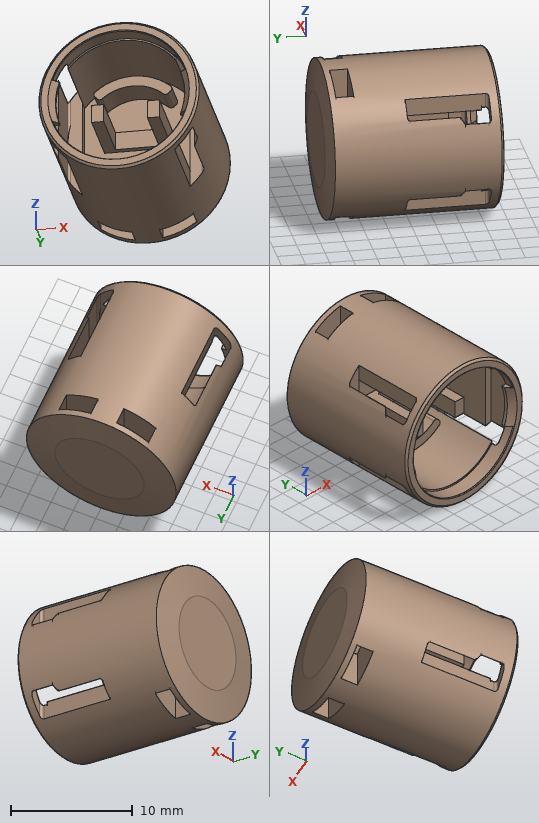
import cadquery as cq
import math

length = 14.5
outer_radius = 6.7
front_y = -length / 2
back_y = length / 2
rim_chamfer = 0.2
cone_height = 0.36
cone_tip_radius = 4.0

bore_radius = 5.7
mouth_radius = 5.85
mouth_rim_radius = 5.91
mouth_chamfer_length = 0.1
mouth_depth = 1.5

slot_inner_x = 4.5
slot_outer_x = 5.7
slot_wide_x = 6.0
slot_front_y = front_y + 0.93
slot_back_y = front_y + 7.9
ramp_front_y = front_y + 3.15
ramp_back_y = front_y + 3.5
slot_front_fillet = 0.25
slot_back_fillet = 0.2

lug_half_height = 1.9
lug_inner_radius = 5.4
lug_land = 0.32

floor_y = front_y + 8.9
prong_outer_x = 2.83
prong_inner_x = 1.83
prong_half_height = 0.78
prong_front_y = front_y + 3.1
bridge_height = 0.5
rib_inner_radius = 3.9
rib_outer_radius = 4.8
rib_half_angle = 45
rib_fillet = 0.3
rib_front_y = front_y + 6.35

window_inner_x = 1.15
window_outer_x = 4.0
window_front_y = back_y - 2.4
window_back_y = back_y - 0.9
boss_radius = 2.9
boss_tip_radius = 2.7
boss_height = 0.8
boss_chamfer_length = 0.2


def box(x_range, y_range, z_range):
    """Box between the given limits along each axis."""
    size = [limits[1] - limits[0] for limits in (x_range, y_range, z_range)]
    corner = (x_range[0], y_range[0], z_range[0])
    return cq.Workplane("XY").box(*size, centered=False).translate(corner)


def revolved(profile):
    """Revolve a closed (radius, y) profile about the Y axis."""
    return cq.Workplane("XY").polyline(profile).close().revolve(360, (0, 0, 0), (0, 1, 0))


def disc(radius, y_start, y_end):
    return revolved([(0, y_start), (radius, y_start), (radius, y_end), (0, y_end)])


def on_both_sides(shape):
    """Add the mirror image of a shape across the YZ plane."""
    return shape.union(shape.mirror("YZ"))


def make_shell():
    shell = revolved([
        (0, front_y),
        (outer_radius - rim_chamfer, front_y),
        (outer_radius, front_y + rim_chamfer),
        (outer_radius, back_y - cone_height),
        (cone_tip_radius, back_y),
        (0, back_y),
    ])
    bore = disc(bore_radius, front_y, slot_back_y)
    flat_sided_end = disc(bore_radius, slot_back_y, floor_y).intersect(
        box(
            (-slot_inner_x, slot_inner_x),
            (slot_back_y, floor_y),
            (-bore_radius, bore_radius),
        )
    )
    mouth = revolved([
        (0, front_y),
        (mouth_rim_radius, front_y),
        (mouth_radius, front_y + mouth_chamfer_length),
        (mouth_radius, front_y + mouth_depth),
        (0, front_y + mouth_depth),
    ])
    return shell.cut(bore).cut(flat_sided_end).cut(mouth)


def make_slot():
    slot = (
        cq.Workplane("XY")
        .polyline([
            (slot_inner_x, slot_front_y),
            (slot_wide_x, slot_front_y),
            (slot_wide_x, ramp_front_y),
            (slot_outer_x, ramp_back_y),
            (slot_outer_x, slot_back_y),
            (slot_inner_x, slot_back_y),
        ])
        .close()
        .extrude(outer_radius, both=True)
    )
    slot = slot.faces("<Y").edges("|Z").fillet(slot_front_fillet)
    return slot.faces(">Y").edges("|Z and >X").fillet(slot_back_fillet)


def make_lugs():
    ring_radius = (mouth_rim_radius + outer_radius) / 2
    ring = revolved([
        (mouth_rim_radius, front_y),
        (lug_inner_radius, slot_front_y - lug_land),
        (lug_inner_radius, slot_front_y),
        (ring_radius, slot_front_y),
        (ring_radius, front_y),
    ])
    band = box(
        (-outer_radius, outer_radius),
        (front_y, slot_front_y),
        (-lug_half_height, lug_half_height),
    )
    return ring.intersect(band)


def make_prongs():
    """Two prongs joined at the floor by a low bridge."""
    z_range = (-prong_half_height, prong_half_height)
    bar = box((-prong_outer_x, prong_outer_x), (prong_front_y, floor_y), z_range)
    gap = box((-prong_inner_x, prong_inner_x), (prong_front_y, floor_y - bridge_height), z_range)
    return bar.cut(gap)


def make_rib():
    """Ring sector centred on +Z, standing on the floor, with rounded corners."""
    def point(radius, angle):
        return (radius * math.sin(math.radians(angle)), radius * math.cos(math.radians(angle)))

    return (
        cq.Workplane("XZ", origin=(0, floor_y, 0))
        .moveTo(*point(rib_outer_radius, -rib_half_angle))
        .threePointArc(point(rib_outer_radius, 0), point(rib_outer_radius, rib_half_angle))
        .lineTo(*point(rib_inner_radius, rib_half_angle))
        .threePointArc(point(rib_inner_radius, 0), point(rib_inner_radius, -rib_half_angle))
        .close()
        .extrude(floor_y - rib_front_y)
        .edges("|Y")
        .fillet(rib_fillet)
    )


def make_window():
    """Void through both walls at +X, less the chamfered boss that crosses it."""
    boss_tip_y = window_front_y + boss_height
    boss = revolved([
        (0, window_front_y),
        (boss_radius, window_front_y),
        (boss_radius, boss_tip_y - boss_chamfer_length),
        (boss_tip_radius, boss_tip_y),
        (0, boss_tip_y),
    ])
    window = box(
        (window_inner_x, window_outer_x),
        (window_front_y, window_back_y),
        (-outer_radius, outer_radius),
    )
    return window.cut(boss)


rib = make_rib()

result = (
    make_shell()
    .cut(on_both_sides(make_slot()))
    .union(make_lugs())
    .union(make_prongs())
    .union(rib.union(rib.mirror("XY")))
    .cut(on_both_sides(make_window()))
)